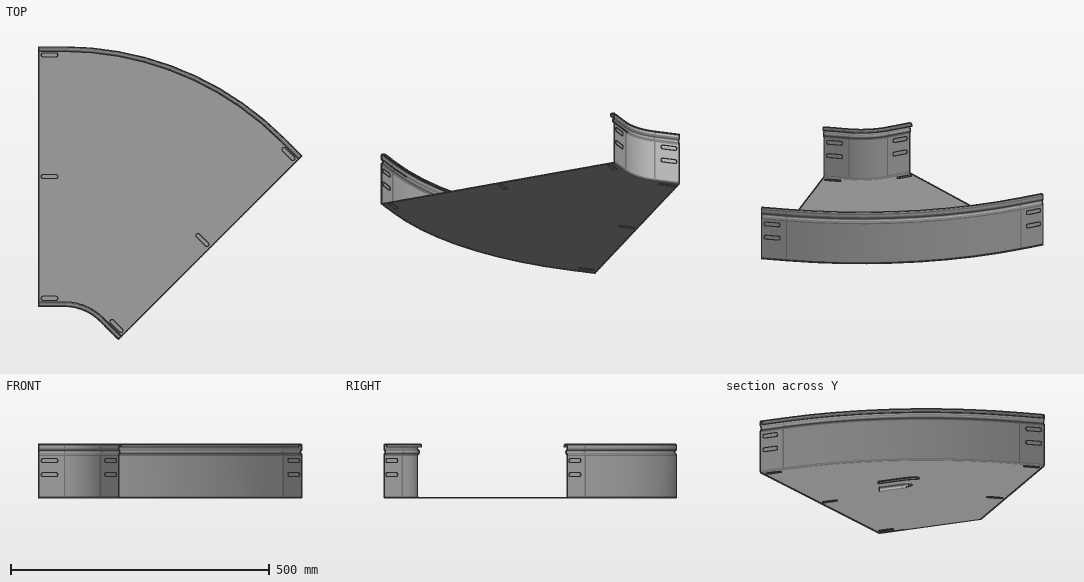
import cadquery as cq
import math

bend_angle = 45.0
leg_length = 50.0
inner_radius = 98.0
outer_radius = 601.0
height = 104.0
sheet = 1.5

fold_radius = 3.0
flange_width = 9.0
lip_height = 5.5

bead_height = 89.0
bead_radius = 3.5
bead_blend = 3.0

slot_length = 32.5
slot_width = 8.0
slot_depth = 0.5
slot_end_gap = 5.0
wall_slot_heights = (45.5, 72.5)
floor_slot_margin = 16.0

touching = 5.67e-06

mid_radius = (inner_radius + outer_radius) / 2


def arc_points(center, radius, start, end):
    """Start, middle and end point of an arc; the angles are in degrees."""
    angles = [math.radians(a) for a in (start, (start + end) / 2, end)]
    return [(center[0] + radius * math.cos(a), center[1] + radius * math.sin(a)) for a in angles]


def wall_path(depth):
    """Path along one wall, from floor to lip, at a given depth below the outside sheet face.

    Each item is an arc of three points, or a single corner point. The coordinates are
    the distance inwards from the wall's outside face, and the height.
    """
    blend_center = bead_blend + sheet
    center_distance = bead_radius + blend_center
    turn = math.degrees(math.acos(blend_center / center_distance))
    rise = center_distance * math.sin(math.radians(turn))
    blend = blend_center - depth
    fold = fold_radius - depth
    fold_height = height - fold_radius
    return [
        arc_points((fold_radius, fold_radius), fold, 270, 180),
        arc_points((blend_center, bead_height - rise), blend, 180, 180 - turn),
        arc_points((0, bead_height), bead_radius + depth, -turn, turn),
        arc_points((blend_center, bead_height + rise), blend, 180 + turn, 180),
        arc_points((fold_radius, fold_height), fold, 180, 90),
        arc_points((flange_width - fold_radius, fold_height), fold, 90, 0),
        [(flange_width - depth, height - lip_height)],
    ]


def place(path, radius, inward):
    """Move a wall path to a wall at this radius; inward is the sign of the inward direction."""
    return [[(radius + inward * distance, z) for distance, z in points] for points in path]


def backwards(path):
    """The same path, travelled in the opposite direction."""
    return [points[::-1] for points in path[::-1]]


def tray_section():
    """Closed outline of the C-shaped sheet: two walls joined by the floor, in the YZ plane."""
    outside = wall_path(0)
    inside = wall_path(sheet)
    path = (
        backwards(place(outside, inner_radius, 1))
        + place(outside, outer_radius, -1)
        + backwards(place(inside, outer_radius, -1))
        + place(inside, inner_radius, 1)
    )
    position = path[0][0]
    outline = cq.Workplane("YZ").moveTo(*position)
    for points in path:
        if math.dist(position, points[0]) > touching:
            outline = outline.lineTo(*points[0])
        if len(points) > 1:
            outline = outline.threePointArc(*points[1:])
        position = points[-1]
    return outline.close()


def slots(workplane, centers):
    """Slot cutters that reach down from a workplane whose normal points out of the sheet."""
    return workplane.pushPoints(centers).slot2D(slot_length, slot_width).extrude(-slot_depth)


def straight_leg():
    """First leg, along X up to the start of the bend, with slots in its walls and floor."""
    leg = tray_section().extrude(-leg_length)
    slot_x = slot_end_gap + slot_length / 2 - leg_length
    wall_centers = [(slot_x, z) for z in wall_slot_heights]
    floor_centers = [
        (slot_x, y)
        for y in (inner_radius + floor_slot_margin, mid_radius, outer_radius - floor_slot_margin)
    ]
    for wall_face in (inner_radius, outer_radius - sheet):
        leg = leg.cut(slots(cq.Workplane("XZ", origin=(0, wall_face, 0)), wall_centers))
    return leg.cut(slots(cq.Workplane("XY", origin=(0, 0, sheet)), floor_centers))


bend = tray_section().revolve(bend_angle, (0, 5.5, 0), (0, 0, 0))
first_leg = straight_leg()
second_leg = first_leg.mirror("YZ").rotate((0, 0, 0), (0, 0, 1), -bend_angle)
result = bend.union(first_leg).union(second_leg)